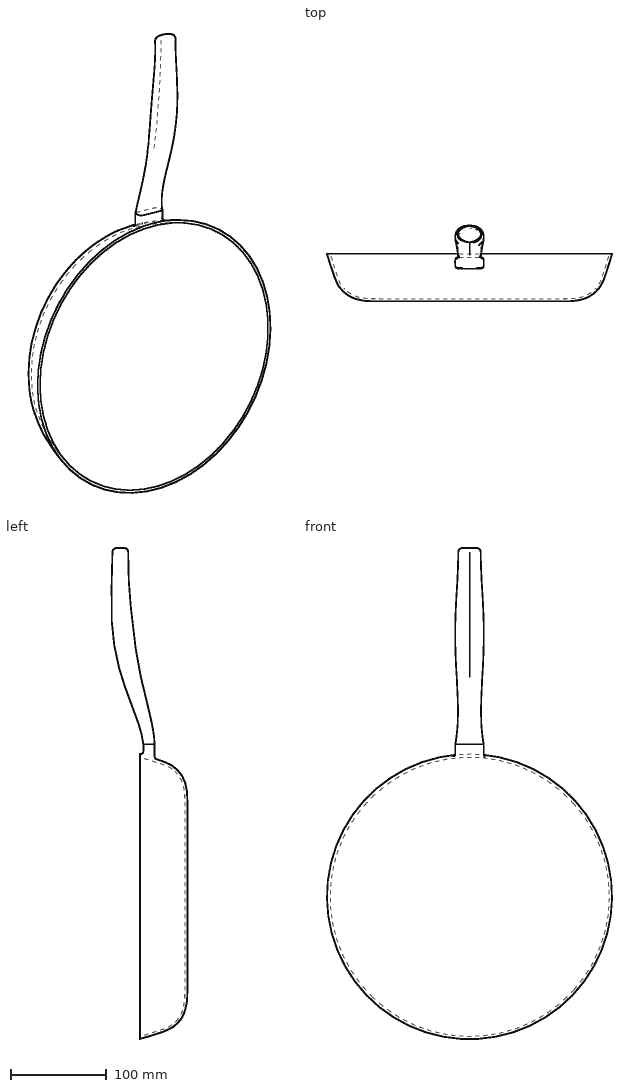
import cadquery as cq
import math


RIM_RADIUS = 149.31
RIM_BAND_RADIUS = 146.6
RIM_BAND_DEPTH = 9.3
WALL_END_RADIUS = 141.6
WALL_END_DEPTH = 24.6
SHOULDER_RADIUS = 128.0
SHOULDER_DEPTH = 43.2
BASE_RADIUS = 100.0
PAN_DEPTH = 49.95
WALL_THICKNESS = 3.0

NECK_WIDTH = 30.0
NECK_BACK_Y = -3.6
NECK_FRONT_Y = -15.6
NECK_MIDDLE_Y = (NECK_BACK_Y + NECK_FRONT_Y) / 2
NECK_TOP_Z = 159.3
NECK_ROOT_Z = 142.5
NECK_CORNER_RADIUS = 3.4
NECK_FOOT_FILLET = 3.0

OVERALL_LENGTH = 514.35
OVERALL_DEPTH = 79.89
HANDLE_TIP_Z = OVERALL_LENGTH - RIM_RADIUS
HANDLE_BACK_Y = OVERALL_DEPTH - PAN_DEPTH
TIP_HEIGHT = 5.0
TIP_FILLET = 4.8
ROUNDING_DIGITS = 12
HALF_SECTION_STEPS = 12
OVAL = 2.0
SQUARED_OVAL = 2.6
NEAR_RECTANGLE = 4.5

HANDLE_SECTIONS = [
    (NECK_TOP_Z, NECK_WIDTH, NECK_BACK_Y, NECK_FRONT_Y, NEAR_RECTANGLE),
    (191.0, 24.5, 5.0, -10.5, SQUARED_OVAL),
    (228.0, 27.0, 18.5, -1.6, OVAL),
    (265.0, 30.0, 27.2, 5.0, OVAL),
    (305.0, 28.6, HANDLE_BACK_Y, 9.5, OVAL),
    (HANDLE_TIP_Z - TIP_HEIGHT, 24.0, 28.8, 12.0, OVAL),
]


def make_pan_body():
    """Solid bowl: sloped wall, rounded shoulder and flat base, revolved about Y."""
    wall_direction = (WALL_END_RADIUS - RIM_BAND_RADIUS, RIM_BAND_DEPTH - WALL_END_DEPTH)
    return (
        cq.Workplane("XY")
        .lineTo(RIM_RADIUS, 0)
        .lineTo(RIM_BAND_RADIUS, -RIM_BAND_DEPTH)
        .lineTo(WALL_END_RADIUS, -WALL_END_DEPTH)
        .spline(
            [(SHOULDER_RADIUS, -SHOULDER_DEPTH), (BASE_RADIUS, -PAN_DEPTH)],
            tangents=[wall_direction, (-1, 0)],
            includeCurrent=True,
        )
        .lineTo(0, -PAN_DEPTH)
        .close()
        .revolve(360, (0, 0), (0, 1))
    )


def make_cavity():
    """Inside of the bowl, one wall thickness within the outer surface."""
    wall_angle = math.atan2(RIM_RADIUS - WALL_END_RADIUS, WALL_END_DEPTH)
    wall_inset = WALL_THICKNESS / math.cos(wall_angle)
    inner_rim = RIM_RADIUS - wall_inset
    inner_wall_end = WALL_END_RADIUS - wall_inset
    shoulder_inset = WALL_THICKNESS * math.sqrt(0.5)
    return (
        cq.Workplane("XY")
        .lineTo(inner_rim, 0)
        .lineTo(inner_wall_end, -WALL_END_DEPTH)
        .spline(
            [
                (SHOULDER_RADIUS - shoulder_inset, shoulder_inset - SHOULDER_DEPTH),
                (BASE_RADIUS, WALL_THICKNESS - PAN_DEPTH),
            ],
            tangents=[(inner_wall_end - inner_rim, -WALL_END_DEPTH), (-1, 0)],
            includeCurrent=True,
        )
        .lineTo(0, WALL_THICKNESS - PAN_DEPTH)
        .close()
        .revolve(360, (0, 0), (0, 1))
    )


def make_neck():
    """Upright block with rounded corners, rising from the pan wall."""
    return (
        cq.Workplane("XY", origin=(0, NECK_MIDDLE_Y, NECK_ROOT_Z))
        .rect(NECK_WIDTH, NECK_BACK_Y - NECK_FRONT_Y)
        .extrude(NECK_TOP_Z - NECK_ROOT_Z)
        .edges("|Z")
        .fillet(NECK_CORNER_RADIUS)
    )


def signed_power(value, power):
    """Power of the magnitude with the sign kept; values within rounding error of zero give zero."""
    return math.copysign(abs(round(value, ROUNDING_DIGITS)) ** power, value)


def half_superellipse(start_angle, half_width, half_depth, exponent):
    """Spline over half a superellipse about the origin, from one tip on the Y axis to the other."""
    points = []
    for step in range(HALF_SECTION_STEPS + 1):
        angle = math.radians(start_angle + 180 * step / HALF_SECTION_STEPS)
        across = signed_power(math.cos(angle), 2 / exponent)
        along = signed_power(math.sin(angle), 2 / exponent)
        points.append(cq.Vector(half_width * across, half_depth * along, 0))
    start_tangent = cq.Vector(-math.sin(math.radians(start_angle)), 0, 0)
    return cq.Edge.makeSpline(points, tangents=[start_tangent, start_tangent * -1])


def half_ellipse(start_angle, half_width, half_depth):
    """Half an ellipse about the origin, from one tip on the Y axis to the other."""
    return cq.Edge.makeEllipse(half_width, half_depth, angle1=start_angle, angle2=start_angle + 180)


def handle_section(height, width, back, front, exponent):
    """Closed wire of two halves that meet at X = 0."""
    halves = []
    for start_angle in (-90, 90):
        if exponent == OVAL:
            half = half_ellipse(start_angle, width / 2, (back - front) / 2)
        else:
            half = half_superellipse(start_angle, width / 2, (back - front) / 2, exponent)
        halves.append(half)
    return cq.Wire.assembleEdges(halves).translate(cq.Vector(0, (back + front) / 2, height))


def make_handle():
    """Curved grip lofted through its sections, with a rounded tip."""
    sections = [handle_section(*section) for section in HANDLE_SECTIONS]
    grip = cq.Workplane(cq.Solid.makeLoft(sections))
    stub = cq.Solid.extrudeLinear(sections[-1], [], cq.Vector(0, 0, TIP_HEIGHT))
    tip = cq.Workplane(stub).faces(">Z").edges().fillet(TIP_FILLET)
    return grip.union(tip)


def is_neck_foot(edge):
    """True for the edges where the neck meets the sloped pan wall."""
    box = edge.BoundingBox()
    within_neck = max(abs(box.xmin), abs(box.xmax)) < NECK_WIDTH / 2 + NECK_FOOT_FILLET
    return within_neck and box.zmin > NECK_ROOT_Z and box.zmax < RIM_RADIUS


def make_pan_with_neck():
    """Hollow pan with the neck blended into its wall by a fillet."""
    joined = make_pan_body().union(make_neck())
    foot = [edge for edge in joined.edges().vals() if is_neck_foot(edge)]
    return joined.newObject(foot).fillet(NECK_FOOT_FILLET).cut(make_cavity())


result = make_pan_with_neck().union(make_handle())